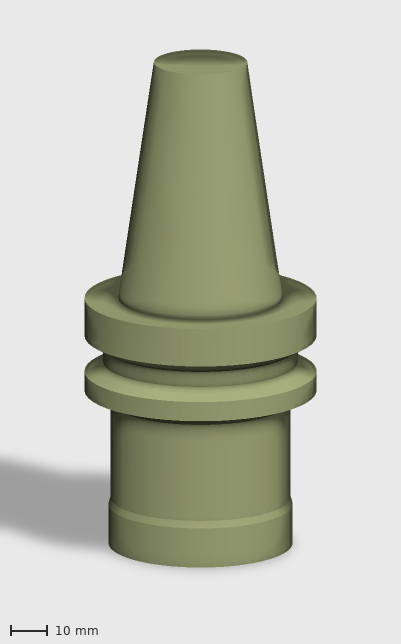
import cadquery as cq
import math


gauge_diameter = 44.45
taper_length = 65.4
taper_ratio = 7 / 24
small_end_diameter = gauge_diameter - taper_length * taper_ratio

flange_diameter = 63.0
flange_top = -1.0
flange_bottom = -27.0
groove_diameter = 53.0
groove_center = -16.6
groove_mouth_width = 10.0
groove_wall_angle = 30.0

holder_bottom = -70.0
body_diameter = 48.8
neck_height = 3.0
neck_top_diameter = body_diameter + 2 * neck_height
collar_diameter = 50.0
collar_height = 11.0
collar_cone_height = 2.0


def frustum(z_low, z_high, diameter_low, diameter_high):
    """Solid cone about Z between two heights; equal diameters give a cylinder."""
    profile = [
        (0, z_low),
        (diameter_low / 2, z_low),
        (diameter_high / 2, z_high),
        (0, z_high),
    ]
    return cq.Workplane("XZ").polyline(profile).close().revolve(360, (0, 0), (0, 1))


def make_shank():
    taper = frustum(0, taper_length, gauge_diameter, small_end_diameter)
    return taper.union(frustum(flange_top, 0, gauge_diameter, gauge_diameter))


def make_groove_cutter():
    """Ring with a trapezoid section that cuts the V-shaped gripper groove."""
    outer_radius = flange_diameter / 2
    inner_radius = groove_diameter / 2
    wall_height = (outer_radius - inner_radius) * math.tan(math.radians(groove_wall_angle))
    half_mouth = groove_mouth_width / 2
    half_floor = half_mouth - wall_height
    section = [
        (inner_radius, groove_center - half_floor),
        (outer_radius, groove_center - half_mouth),
        (outer_radius, groove_center + half_mouth),
        (inner_radius, groove_center + half_floor),
    ]
    return cq.Workplane("XZ").polyline(section).close().revolve(360, (0, 0), (0, 1))


def make_flange():
    blank = frustum(flange_bottom, flange_top, flange_diameter, flange_diameter)
    return blank.cut(make_groove_cutter())


def make_body():
    neck_bottom = flange_bottom - neck_height
    collar_top = holder_bottom + collar_height
    collar_cone_top = collar_top + collar_cone_height
    neck = frustum(neck_bottom, flange_bottom, body_diameter, neck_top_diameter)
    body = frustum(collar_cone_top, neck_bottom, body_diameter, body_diameter)
    collar_cone = frustum(collar_top, collar_cone_top, collar_diameter, body_diameter)
    collar = frustum(holder_bottom, collar_top, collar_diameter, collar_diameter)
    return neck.union(body).union(collar_cone).union(collar)


result = make_shank().union(make_flange()).union(make_body())